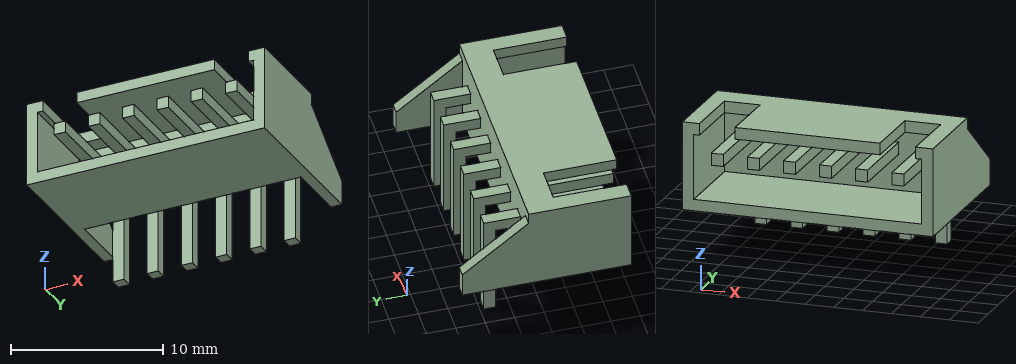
import cadquery as cq


housing_width = 17.4
housing_depth = 7.0
housing_height = 6.07
wall = 0.8
cavity_depth = housing_depth - wall

slot_width = 2.47
slot_depth = 5.0

ear_length = 4.5
ear_tip_height = 1.8
ear_root_height = housing_height - wall

pin_count = 6
pin_pitch = 2.5
pin_size = 0.84
pin_underside = 3.29
pin_back = 9.5
pin_tail = 3.43

pin_top = pin_underside + pin_size
pin_positions = [(i - (pin_count - 1) / 2) * pin_pitch for i in range(pin_count)]


def block(width, depth, height, x_centre, y_front, z_bottom):
    """Box centred on x_centre, reaching back from y_front and up from z_bottom."""
    return (
        cq.Workplane("XY")
        .box(width, depth, height, centered=(True, False, False))
        .translate((x_centre, y_front, z_bottom))
    )


def side_profile(points, thickness, x_centre):
    """Closed (Y, Z) outline extruded along X, centred on x_centre."""
    return (
        cq.Workplane("YZ", origin=(x_centre, 0, 0))
        .polyline(points)
        .close()
        .extrude(thickness / 2, both=True)
    )


def make_ear(x_centre):
    """Side wall extension with a top edge sloping down to the rear."""
    ear_end = housing_depth + ear_length
    outline = [
        (housing_depth, 0),
        (ear_end, 0),
        (ear_end, ear_tip_height),
        (housing_depth, ear_root_height),
    ]
    return side_profile(outline, wall, x_centre)


def make_pin(x_centre):
    """Square pin, flush with the front, bent down behind the housing."""
    tail_front = pin_back - pin_size
    outline = [
        (0, pin_underside),
        (tail_front, pin_underside),
        (tail_front, -pin_tail),
        (pin_back, -pin_tail),
        (pin_back, pin_top),
        (0, pin_top),
    ]
    return side_profile(outline, pin_size, x_centre)


def make_housing():
    """Shell with a front cavity, two roof slots, two ears and a hole for each pin."""
    body = block(housing_width, housing_depth, housing_height, 0, 0, 0)

    cavity_width = housing_width - 2 * wall
    cavity_height = housing_height - 2 * wall
    body = body.cut(block(cavity_width, cavity_depth, cavity_height, 0, 0, wall))

    for x in (pin_positions[0], pin_positions[-1]):
        body = body.cut(block(slot_width, slot_depth, wall, x, 0, housing_height - wall))

    ear_offset = (housing_width - wall) / 2
    for x in (-ear_offset, ear_offset):
        body = body.union(make_ear(x))

    for x in pin_positions:
        body = body.cut(block(pin_size, housing_depth, pin_size, x, 0, pin_underside))
    return body


housing = make_housing()
pins = [make_pin(x) for x in pin_positions]

result = cq.Compound.makeCompound([housing.solids().val(), *[pin.val() for pin in pins]])